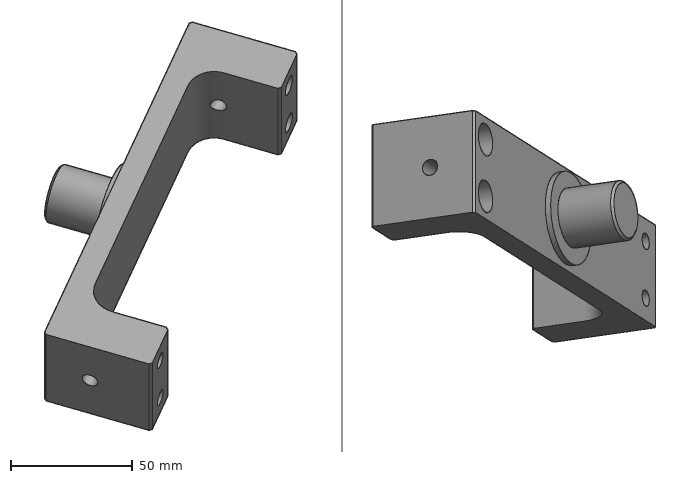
import cadquery as cq

body_length = 175.0
body_height = 44.0
body_depth = 47.2
plate_thickness = 10.8
foot_thickness = 20.6
inner_radius = 11.5
edge_chamfer = 1.0

flange_diameter = 39.0
flange_thickness = 2.5
pin_diameter = 25.0
pin_length = 25.0
pin_chamfer = 1.0

bolt_end_distance = 10.5
bolt_spacing = 24.5
clearance_diameter = 8.5
counterbore_diameter = 13.6
counterbore_depth = 10.0
small_hole_diameter = 6.8
cross_hole_offset = 20.3

half_length = body_length / 2
half_opening = half_length - foot_thickness
bolt_y = half_length - bolt_end_distance


def make_body():
    """C-shaped bracket with its plate face at X = 0, centred on Y and Z."""
    outline = [
        (0, -half_length),
        (body_depth, -half_length),
        (body_depth, -half_opening),
        (plate_thickness, -half_opening),
        (plate_thickness, half_opening),
        (body_depth, half_opening),
        (body_depth, half_length),
        (0, half_length),
    ]
    body = cq.Workplane("XY").polyline(outline).close().extrude(body_height / 2, both=True)
    inner_corners = [(plate_thickness, side * half_opening, 0) for side in (-1, 1)]
    for corner in inner_corners:
        body = body.edges(cq.NearestToPointSelector(corner)).fillet(inner_radius)
    outer_edges = body.faces("<X or >X").edges("|Z")
    return outer_edges.chamfer(edge_chamfer)


def cylinder_x(diameter, x_start, length, y=0, z=0):
    """Cylinder along X, running from x_start toward +X."""
    return cq.Workplane("YZ", origin=(x_start, y, z)).circle(diameter / 2).extrude(length)


def make_pin():
    """Flange and pin standing out from the plate toward -X."""
    flange = cylinder_x(flange_diameter, -flange_thickness, flange_thickness)
    pin = cylinder_x(pin_diameter, -flange_thickness - pin_length, pin_length)
    return flange.union(pin.faces("<X").chamfer(pin_chamfer))


def cut_bolt_holes(body):
    """Counterbored pair in the +Y foot, plain smaller pair in the -Y foot."""
    for z in (-bolt_spacing / 2, bolt_spacing / 2):
        body = body.cut(cylinder_x(clearance_diameter, 0, body_depth, bolt_y, z))
        body = body.cut(cylinder_x(counterbore_diameter, 0, counterbore_depth, bolt_y, z))
        body = body.cut(cylinder_x(small_hole_diameter, 0, body_depth, -bolt_y, z))
    return body


def cut_cross_hole(body):
    """Hole along Y through both feet."""
    hole = (
        cq.Workplane("XZ", origin=(cross_hole_offset, 0, 0))
        .circle(small_hole_diameter / 2)
        .extrude(half_length, both=True)
    )
    return body.cut(hole)


result = cut_cross_hole(cut_bolt_holes(make_body())).union(make_pin())